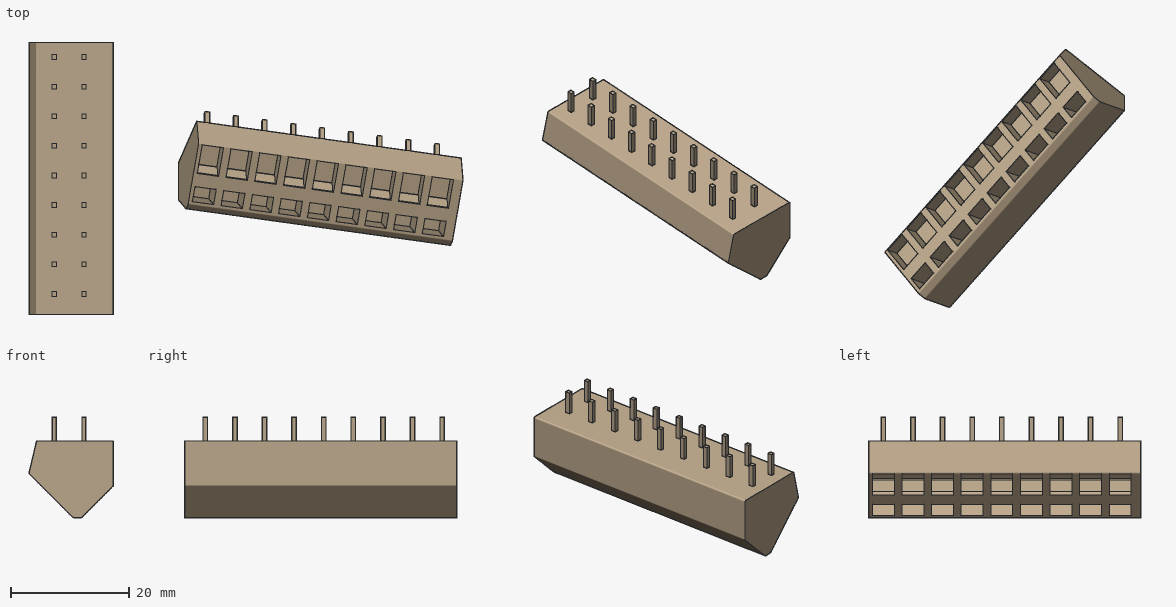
import cadquery as cq
import math

housing_length = 46.0
housing_width = 14.3
housing_height = 13.0
nose_height = 7.5
nose_overhang = 1.3
bottom_flat_width = 1.4
edge_radius = 0.3

slope_angle = math.radians(45)
bottom_flat_start = nose_height
bottom_flat_end = bottom_flat_start + bottom_flat_width
right_wall_bottom = housing_width - bottom_flat_end

pole_count = 9
pole_pitch = 5.0
first_pole_y = 3.5

pin_width_x = 0.7
pin_width_y = 0.8
pin_length = 4.0
pin_row_pitch = 5.0
pin_rows_x = [housing_width - 2 * pin_row_pitch, housing_width - pin_row_pitch]

pocket_width = 3.7
wire_pocket_bottom = 0.4
wire_pocket_top = 2.25
wire_pocket_depth = 5.0
lever_pocket_bottom = 3.87
upper_face_angle = math.atan2(housing_height - nose_height, nose_overhang)
nose_angle = slope_angle + upper_face_angle
nose_rounding_reach = edge_radius / math.tan(nose_angle / 2)
lever_pocket_top = nose_height - nose_rounding_reach * math.sin(slope_angle)
lever_ledge_rise = 0.56
lever_ramp_rise = 1.97
lever_ramp_run = 0.43
lever_inner_rise = 0.25


def extrude_section(points, length, start_y):
    """Extrude a closed XZ outline along +Y from start_y."""
    section = cq.Workplane("XZ", origin=(0, start_y, 0)).polyline(points).close()
    return section.extrude(-length)


def slope_point(z):
    """Point of the lower -X face at height z."""
    return nose_height - z, z


def step_from(point, run, rise):
    return point[0] + run, point[1] + rise


def make_housing():
    outline = [
        (nose_overhang, housing_height),
        (0, nose_height),
        (bottom_flat_start, 0),
        (bottom_flat_end, 0),
        (housing_width, right_wall_bottom),
        (housing_width, housing_height),
    ]
    return extrude_section(outline, housing_length, 0).edges("|Y").fillet(edge_radius)


def make_wire_pocket(pole_y):
    """Straight pocket, square to the lower -X face."""
    reach = wire_pocket_depth * math.sin(slope_angle)
    bottom = slope_point(wire_pocket_bottom)
    top = slope_point(wire_pocket_top)
    outline = [bottom, step_from(bottom, reach, reach), step_from(top, reach, reach), top]
    return extrude_section(outline, pocket_width, pole_y - pocket_width / 2)


def make_lever_pocket(pole_y):
    """Pocket with a steep ramp on its lower side and a floor parallel to the lower -X face."""
    bottom = slope_point(lever_pocket_bottom)
    top = slope_point(lever_pocket_top)
    ramp_start = step_from(bottom, lever_ledge_rise, lever_ledge_rise)
    ramp_end = step_from(ramp_start, lever_ramp_run, lever_ramp_rise)
    floor_start = step_from(ramp_end, lever_inner_rise, lever_inner_rise)
    reach = (sum(floor_start) - nose_height) / 2
    outline = [bottom, ramp_start, ramp_end, floor_start, step_from(top, reach, reach), top]
    return extrude_section(outline, pocket_width, pole_y - pocket_width / 2)


def make_pin(pin_x, pole_y):
    pin = cq.Workplane("XY", origin=(pin_x, pole_y, housing_height))
    return pin.rect(pin_width_x, pin_width_y).extrude(pin_length)


result = make_housing()
for pole in range(pole_count):
    pole_y = first_pole_y + pole * pole_pitch
    result = result.cut(make_wire_pocket(pole_y))
    result = result.cut(make_lever_pocket(pole_y))
    for pin_x in pin_rows_x:
        result = result.union(make_pin(pin_x, pole_y))